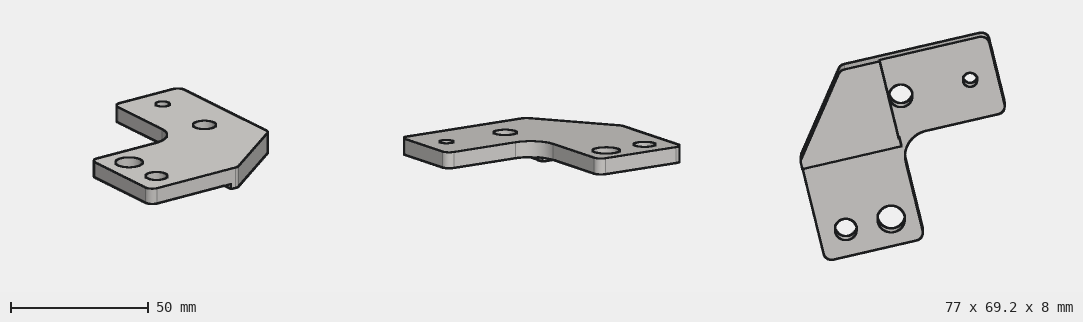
import cadquery as cq

length = 77.0
width = 69.15
plate_thickness = 6.0
x_arm_width = 29.9
y_arm_width = 37.0
bevel_run = 22.0
bevel_drop = x_arm_width
corner_radius = 3.0
inner_radius = 9.85

pad_thickness = 2.0
pad_strip_width = 3.0
pad_setback = 0.3

x_arm_hole_y = width - x_arm_width / 2
small_hole_x = 10.0
small_hole_diameter = 5.2
middle_hole_x = 35.9
middle_hole_diameter = 8.5
y_arm_hole_y = 10.0
large_hole_x = 50.05
large_hole_diameter = 10.0
right_hole_x = 67.0
right_hole_diameter = 8.0

inner_x = length - y_arm_width
inner_y = width - x_arm_width
bevel_top = (length - bevel_run, width)
bevel_bottom = (length, width - bevel_drop)

holes = [
    (small_hole_x, x_arm_hole_y, small_hole_diameter),
    (middle_hole_x, x_arm_hole_y, middle_hole_diameter),
    (large_hole_x, y_arm_hole_y, large_hole_diameter),
    (right_hole_x, y_arm_hole_y, right_hole_diameter),
]


def make_plate():
    """L-shaped plate with a bevelled outer corner and rounded vertical edges."""
    outer_corners = [
        (inner_x, 0),
        (length, 0),
        bevel_bottom,
        bevel_top,
        (0, width),
        (0, inner_y),
    ]
    inner_corner = (inner_x, inner_y)
    plate = cq.Workplane("XY").polyline(outer_corners + [inner_corner]).close().extrude(plate_thickness)

    def round_corners(body, corners, radius):
        for x, y in corners:
            corner_edge = cq.selectors.NearestToPointSelector((x, y, plate_thickness / 2))
            body = body.edges("|Z").edges(corner_edge).fillet(radius)
        return body

    plate = round_corners(plate, outer_corners, corner_radius)
    return round_corners(plate, [inner_corner], inner_radius)


def make_pad():
    """Pad under the bevelled corner, with a strip extending it toward -Y."""
    base = cq.Workplane("XY").workplane(offset=-pad_thickness)
    corner_x = inner_x + pad_setback
    corner_outline = [(corner_x, inner_y), bevel_bottom, bevel_top, (corner_x, width)]
    corner = base.polyline(corner_outline).close().extrude(pad_thickness)
    strip = (
        base.moveTo(inner_x, inner_y - pad_strip_width)
        .rect(y_arm_width, pad_strip_width, centered=False)
        .extrude(pad_thickness)
    )
    return corner.union(strip)


def make_hole(x, y, diameter):
    """Cylinder that passes through the plate."""
    return cq.Workplane("XY").center(x, y).circle(diameter / 2).extrude(plate_thickness)


plate = make_plate()
for x, y, diameter in holes:
    plate = plate.cut(make_hole(x, y, diameter))

plate_shadow = plate.translate((0, 0, -pad_thickness))
pad = make_pad().intersect(plate_shadow)
result = plate.union(pad)